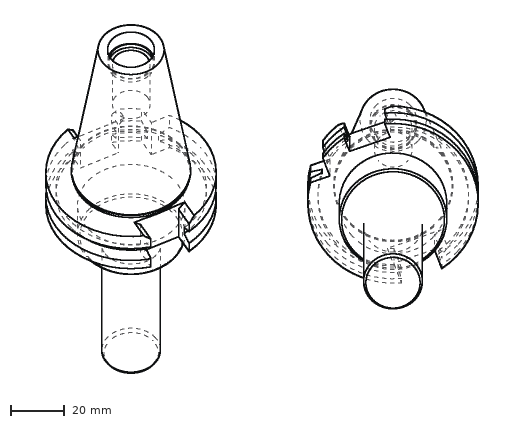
import cadquery as cq
import math

overall_height = 171.2
flange_top = 101.9
flange_bottom = 83.7
hub_bottom = 66.3

taper_top_radius = 12.3
taper_base_radius = 22.3
flange_radius = 63.5 / 2
groove_radius = 28.0
hub_radius = 20.0
stem_radius = 11.0

relief_height = 1.0
relief_radius = 22.0
recess_radius = 23.6
recess_depth = 0.5
flange_land = 4.6
groove_floor_width = 3.5
groove_flank_height = 1.63
hub_chamfer = 0.9
stem_fillet = 5.7
stem_chamfer_width = 0.9
stem_chamfer_height = 1.5

pilot_radius = 8.7
pilot_depth = 6.5
counterbore_radius = 17.0 / 2
counterbore_depth = 8.4
thread_radius = 7.0
thread_depth = 30.8
drill_point_angle = 118.0

slot_width = 16.1
slot_chamfer = 2.5
left_slot_floor = 25.0
right_slot_floor = 22.5
notch_x = -18.3
notch_y = 18.3


def make_body():
    """Turned outer shape: stem, hub, grooved flange and taper."""
    lower_land_top = flange_bottom + flange_land
    floor_bottom = lower_land_top + groove_flank_height
    floor_top = floor_bottom + groove_floor_width
    arc_drop = stem_fillet * (1 - math.sqrt(0.5))
    return (
        cq.Workplane("XZ")
        .lineTo(stem_radius - stem_chamfer_width, 0)
        .lineTo(stem_radius, stem_chamfer_height)
        .lineTo(stem_radius, hub_bottom - stem_fillet)
        .threePointArc(
            (stem_radius + arc_drop, hub_bottom - arc_drop),
            (stem_radius + stem_fillet, hub_bottom),
        )
        .lineTo(hub_radius - hub_chamfer, hub_bottom)
        .lineTo(hub_radius, hub_bottom + hub_chamfer)
        .lineTo(hub_radius, flange_bottom)
        .lineTo(flange_radius, flange_bottom)
        .lineTo(flange_radius, lower_land_top)
        .lineTo(groove_radius, floor_bottom)
        .lineTo(groove_radius, floor_top)
        .lineTo(flange_radius, floor_top + groove_flank_height)
        .lineTo(flange_radius, flange_top)
        .lineTo(recess_radius, flange_top)
        .lineTo(relief_radius, flange_top - recess_depth)
        .lineTo(relief_radius, flange_top + relief_height)
        .lineTo(taper_base_radius, flange_top + relief_height)
        .lineTo(taper_top_radius, overall_height)
        .lineTo(0, overall_height)
        .close()
        .revolve(360, (0, 0, 0), (0, 1, 0))
    )


def make_bore():
    """Pilot bore, counterbore and thread core hole ending in a drill point."""
    pilot_bottom = overall_height - pilot_depth
    counterbore_bottom = overall_height - counterbore_depth
    thread_bottom = overall_height - thread_depth
    point_height = thread_radius / math.tan(math.radians(drill_point_angle / 2))
    return (
        cq.Workplane("XZ")
        .moveTo(0, overall_height)
        .lineTo(pilot_radius, overall_height)
        .lineTo(pilot_radius, pilot_bottom)
        .lineTo(counterbore_radius, pilot_bottom)
        .lineTo(counterbore_radius, counterbore_bottom)
        .lineTo(thread_radius, counterbore_bottom)
        .lineTo(thread_radius, thread_bottom)
        .lineTo(0, thread_bottom - point_height)
        .close()
        .revolve(360, (0, 0, 0), (0, 1, 0))
    )


def make_slot(side, floor):
    """Drive slot on one side (-1 or +1), with beveled upper edges."""
    half = slot_width / 2
    return (
        cq.Workplane("YZ")
        .workplane(offset=side * floor)
        .moveTo(-half, flange_bottom)
        .lineTo(half, flange_bottom)
        .lineTo(half, flange_top - slot_chamfer)
        .lineTo(half + slot_chamfer, flange_top)
        .lineTo(-half - slot_chamfer, flange_top)
        .lineTo(-half, flange_top - slot_chamfer)
        .close()
        .extrude(side * flange_radius)
    )


def make_notch():
    """Square orientation notch in the -X, +Y rim of the flange."""
    height = flange_top - flange_bottom
    return (
        cq.Workplane("XY")
        .box(flange_radius, flange_radius, height, centered=False)
        .translate((notch_x - flange_radius, notch_y, flange_bottom))
    )


result = (
    make_body()
    .cut(make_bore())
    .cut(make_slot(-1, left_slot_floor))
    .cut(make_slot(1, right_slot_floor))
    .cut(make_notch())
)